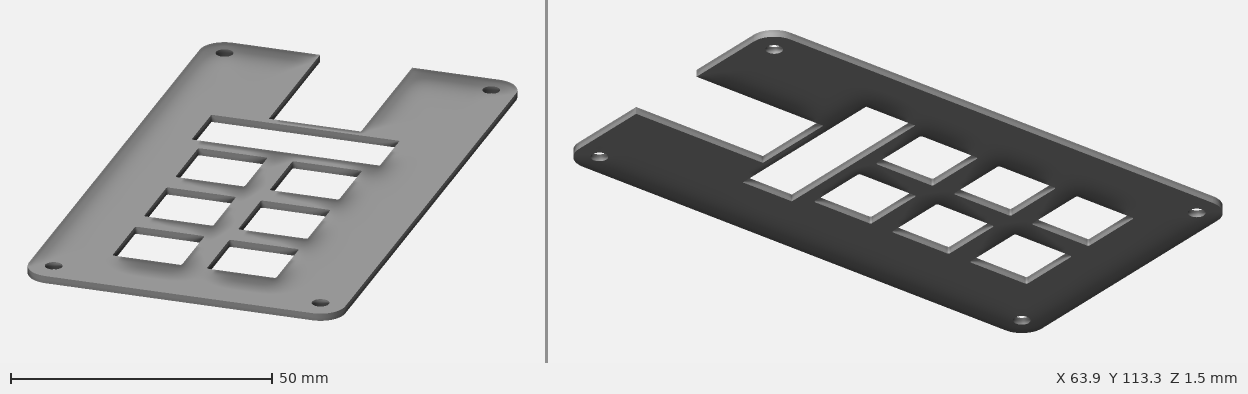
import cadquery as cq

plate_width = 63.88
plate_length = 113.3
plate_thickness = 1.5
corner_radius = 5.0

screw_hole_diameter = 3.4
screw_spacing_x = plate_width - 2 * corner_radius
screw_spacing_y = plate_length - 2 * corner_radius

notch_width = 18.6
notch_depth = 31.0

key_size = 14.0
key_corner_radius = 0.4
key_pitch = 19.05
key_columns = 2
key_rows = 3
key_grid_x = -1.3
key_grid_y = -17.5

window_width = 38.0
window_height = 12.0
window_y = 17.9


def make_plate():
    """Flat plate with rounded corners, its lower face on Z = 0."""
    blank = cq.Workplane("XY").rect(plate_width, plate_length).extrude(plate_thickness)
    return blank.edges("|Z").fillet(corner_radius)


def rectangular_cutter(width, height, x, y):
    """Block through the full plate thickness, centred at (x, y)."""
    return cq.Workplane("XY").center(x, y).rect(width, height).extrude(plate_thickness)


def cut_screw_holes(plate):
    holes = (
        cq.Workplane("XY")
        .rect(screw_spacing_x, screw_spacing_y, forConstruction=True)
        .vertices()
        .circle(screw_hole_diameter / 2)
        .extrude(plate_thickness)
    )
    return plate.cut(holes)


def cut_notch(plate):
    notch_y = plate_length / 2 - notch_depth / 2
    return plate.cut(rectangular_cutter(notch_width, notch_depth, 0, notch_y))


def cut_window(plate):
    return plate.cut(rectangular_cutter(window_width, window_height, key_grid_x, window_y))


def cut_key_openings(plate):
    for column in range(key_columns):
        for row in range(key_rows):
            x = key_grid_x + (column - (key_columns - 1) / 2) * key_pitch
            y = key_grid_y + (row - (key_rows - 1) / 2) * key_pitch
            opening = rectangular_cutter(key_size, key_size, x, y)
            plate = plate.cut(opening.edges("|Z").fillet(key_corner_radius))
    return plate


result = make_plate()
result = cut_screw_holes(result)
result = cut_notch(result)
result = cut_window(result)
result = cut_key_openings(result)